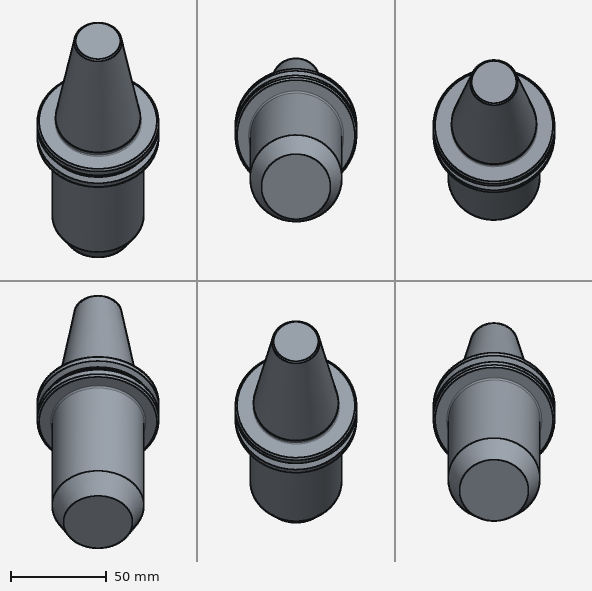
import cadquery as cq
import math

total_height = 168.4
gauge_height = 100.0
flange_top = 96.8
flange_bottom = 80.8
nose_height = 13.1

flange_diameter = 63.5
body_diameter = 48.0
tip_radius = 12.5
gauge_radius = 22.2
neck_radius = 22.0
flange_radius = flange_diameter / 2
body_radius = body_diameter / 2
nose_radius = 18.0

tip_chamfer = 0.8
flange_chamfer = 1.0
gauge_band_height = 0.5
neck_fillet = 0.5
body_fillet = 0.8

groove_center = 88.9
groove_mouth = 7.0
groove_radius = 28.1
slot_width = 3.9
flank_angle = 30.0


def shank_profile():
    """Half section of the nose, body, flange blank and taper."""
    band_bottom = gauge_height - gauge_band_height
    return (
        cq.Workplane("XZ")
        .lineTo(nose_radius, 0)
        .lineTo(body_radius, nose_height)
        .lineTo(body_radius, flange_bottom - body_fillet)
        .radiusArc((body_radius + body_fillet, flange_bottom), body_fillet)
        .lineTo(flange_radius - flange_chamfer, flange_bottom)
        .lineTo(flange_radius, flange_bottom + flange_chamfer)
        .lineTo(flange_radius, flange_top - flange_chamfer)
        .lineTo(flange_radius - flange_chamfer, flange_top)
        .lineTo(neck_radius + neck_fillet, flange_top)
        .radiusArc((neck_radius, flange_top + neck_fillet), neck_fillet)
        .lineTo(neck_radius, band_bottom)
        .lineTo(gauge_radius, band_bottom)
        .lineTo(gauge_radius, gauge_height)
        .lineTo(tip_radius, total_height - tip_chamfer)
        .lineTo(tip_radius - tip_chamfer, total_height)
        .lineTo(0, total_height)
        .close()
    )


def gripper_groove():
    """Ring that cuts the groove, with flanks narrowing to a flat-bottomed slot."""
    half_mouth = groove_mouth / 2
    half_slot = slot_width / 2
    flank_depth = (half_mouth - half_slot) / math.tan(math.radians(flank_angle))
    slot_mouth_radius = flange_radius - flank_depth
    ring = (
        cq.Workplane("XZ")
        .moveTo(flange_radius, groove_center - half_mouth)
        .lineTo(slot_mouth_radius, groove_center - half_slot)
        .lineTo(groove_radius, groove_center - half_slot)
        .lineTo(groove_radius, groove_center + half_slot)
        .lineTo(slot_mouth_radius, groove_center + half_slot)
        .lineTo(flange_radius, groove_center + half_mouth)
        .close()
    )
    return ring.revolve(360, (0, 0, 0), (0, 1, 0))


holder = shank_profile().revolve(360, (0, 0, 0), (0, 1, 0))
result = holder.cut(gripper_groove())